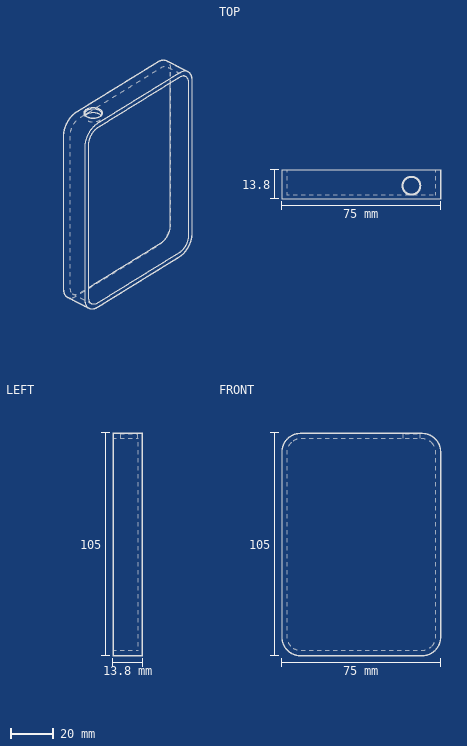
import cadquery as cq

width = 75.0
depth = 13.8
height = 105.0
corner_radius = 8.9
wall = 2.5
floor = 2.0

hole_diameter = 8.0
hole_x = 23.6
hole_y = -0.5
rim_chamfer = 0.4


def rounded_slab(slab_width, slab_height, radius, y_start, y_end):
    """Upright rounded rectangle filling the space between two Y positions."""
    return (
        cq.Workplane("XZ", origin=(0, y_end, 0))
        .rect(slab_width, slab_height)
        .extrude(y_end - y_start)
        .edges("|Y")
        .fillet(radius)
    )


front_y = -depth / 2
back_y = depth / 2

case = rounded_slab(width, height, corner_radius, front_y, back_y)
cavity = rounded_slab(
    width - 2 * wall, height - 2 * wall, corner_radius - wall, front_y + floor, back_y
)

hole = (
    cq.Workplane("XY", origin=(hole_x, hole_y, height / 2 - wall))
    .circle(hole_diameter / 2)
    .extrude(wall)
    .faces(">Z")
    .workplane(offset=-rim_chamfer)
    .circle(hole_diameter / 2)
    .workplane(offset=rim_chamfer)
    .circle(hole_diameter / 2 + rim_chamfer)
    .loft(combine=True)
)

result = case.cut(cavity).cut(hole)